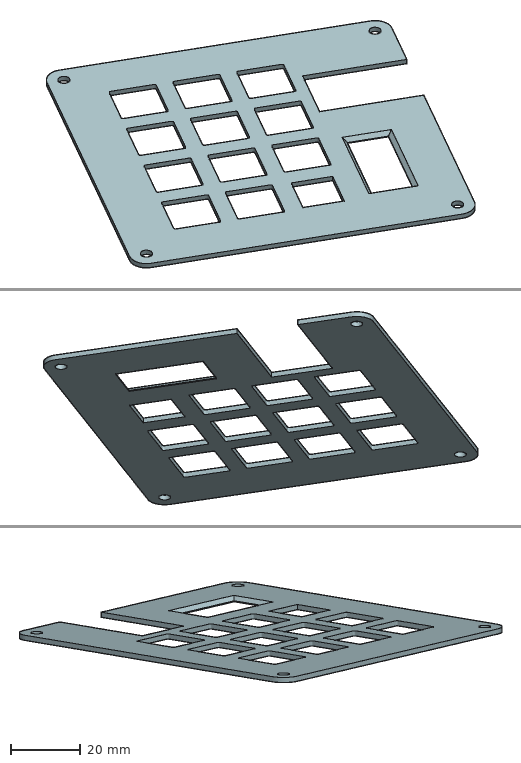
import cadquery as cq

plate_width = 100.0
plate_length = 103.0
plate_thickness = 1.5
corner_radius = 5.0

screw_hole_diameter = 3.4
screw_spacing_x = plate_width - 2 * corner_radius
screw_spacing_y = plate_length - 2 * corner_radius

key_columns = 4
key_rows = 3
key_pitch = 19.1
key_size = 14.0
key_corner_radius = 0.5
first_key_x = -28.8
first_key_y = -28.5

knob_width = 12.7
knob_height = 12.4
knob_x = first_key_x + (key_columns - 1) * key_pitch
knob_y = 9.3

window_width = 29.0
window_height = 14.7
window_bevel = 1.2
window_inner_width = window_width - 2 * window_bevel
window_inner_height = window_height - 2 * window_bevel
window_x = 18.4
window_y = 30.6

notch_width = 18.4
notch_depth = 31.1
notch_x = -19.5


def rectangular_cutter(width, height, x, y):
    """Box through the full plate thickness, centred on (x, y)."""
    return (
        cq.Workplane("XY")
        .center(x, y)
        .rect(width, height)
        .extrude(plate_thickness)
    )


def key_cutter(x, y):
    cutter = rectangular_cutter(key_size, key_size, x, y)
    return cutter.edges("|Z").fillet(key_corner_radius)


def window_cutter():
    """Straight window opening joined to the tapered bevel above it."""
    opening = rectangular_cutter(window_inner_width, window_inner_height, window_x, window_y)
    bevel = (
        cq.Workplane("XY")
        .workplane(offset=plate_thickness - window_bevel)
        .center(window_x, window_y)
        .rect(window_inner_width, window_inner_height)
        .workplane(offset=window_bevel)
        .rect(window_width, window_height)
        .loft(ruled=True)
    )
    return opening.union(bevel)


result = (
    cq.Workplane("XY")
    .rect(plate_width, plate_length)
    .extrude(plate_thickness)
    .edges("|Z")
    .fillet(corner_radius)
    .faces(">Z")
    .workplane()
    .rect(screw_spacing_x, screw_spacing_y, forConstruction=True)
    .vertices()
    .hole(screw_hole_diameter)
)

for column in range(key_columns):
    for row in range(key_rows):
        is_knob_place = column == key_columns - 1 and row == key_rows - 1
        if is_knob_place:
            cutter = rectangular_cutter(knob_width, knob_height, knob_x, knob_y)
        else:
            key_x = first_key_x + column * key_pitch
            key_y = first_key_y + row * key_pitch
            cutter = key_cutter(key_x, key_y)
        result = result.cut(cutter)

notch_y = (plate_length - notch_depth) / 2
result = result.cut(window_cutter())
result = result.cut(rectangular_cutter(notch_width, notch_depth, notch_x, notch_y))